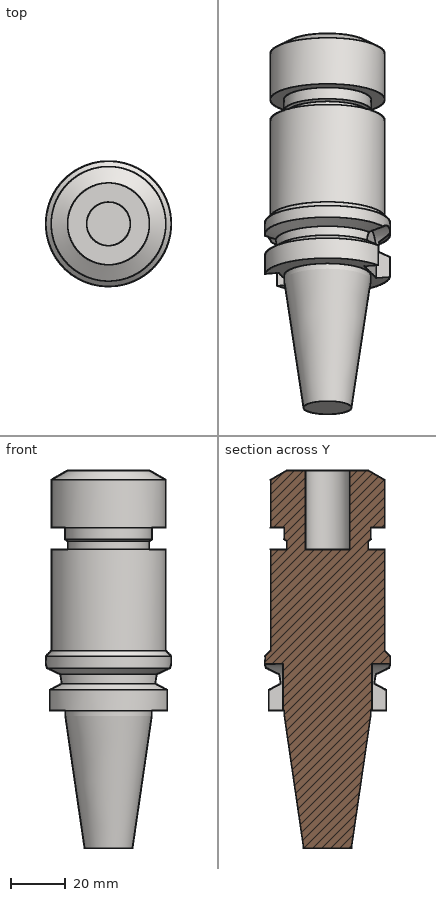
import cadquery as cq
import math


gauge_diameter = 31.75
gauge_radius = gauge_diameter / 2
taper_length = 48.4
taper_ratio = 7 / 24
tip_radius = gauge_radius - taper_length * taper_ratio / 2

flange_radius = 23.0
flange_bottom = 2.0
flange_height = 20.0
flange_top = flange_bottom + flange_height
groove_radius = 19.0
groove_middle = 13.6
groove_floor_width = 3.4
flank_angle = math.radians(30)
flank_height = (flange_radius - groove_radius) * math.tan(flank_angle)
groove_floor_bottom = groove_middle - groove_floor_width / 2
groove_floor_top = groove_middle + groove_floor_width / 2

body_radius = 21.0
body_bottom = flange_top + flange_radius - body_radius
nose_z = 90.0
nut_and_neck_length = 28.9
body_top = nose_z - nut_and_neck_length

relief_radius = 15.0
relief_height = 2.9
thread_radius = 16.0
thread_chamfer_height = 0.75
thread_chamfer_bottom = body_top + relief_height
thread_bottom = thread_chamfer_bottom + thread_chamfer_height

nut_radius = 21.0
nut_height = 21.0
nut_bottom = nose_z - nut_height
nose_radius = 15.0
nose_angle = math.radians(30)
nose_cone_height = (nut_radius - nose_radius) * math.tan(nose_angle)

bore_diameter = 16.0
bore_depth = nut_and_neck_length

slot_width = 16.1
slot_floor_distance = 16.3
slot_height = 17.0
slot_top = flange_bottom + slot_height
slot_arc_center = slot_top - slot_width / 2
rim_overrun = 1.0
slot_cut_depth = flange_radius - slot_floor_distance + rim_overrun


def make_turned_body():
    """Revolve the outer half profile, from the taper tip up to the nose."""
    profile = [
        (0, -taper_length),
        (tip_radius, -taper_length),
        (gauge_radius, 0),
        (gauge_radius, flange_bottom),
        (flange_radius, flange_bottom),
        (flange_radius, groove_floor_bottom - flank_height),
        (groove_radius, groove_floor_bottom),
        (groove_radius, groove_floor_top),
        (flange_radius, groove_floor_top + flank_height),
        (flange_radius, flange_top),
        (body_radius, body_bottom),
        (body_radius, body_top),
        (relief_radius, body_top),
        (relief_radius, thread_chamfer_bottom),
        (thread_radius, thread_bottom),
        (thread_radius, nut_bottom),
        (nut_radius, nut_bottom),
        (nut_radius, nose_z - nose_cone_height),
        (nose_radius, nose_z),
        (0, nose_z),
    ]
    return cq.Workplane("XZ").polyline(profile).close().revolve(360, (0, 0), (0, 1))


def make_bore():
    """Cylinder that opens the collet bore down from the nose."""
    bore = cq.Workplane("XY").workplane(offset=nose_z - bore_depth)
    return bore.circle(bore_diameter / 2).extrude(bore_depth)


def make_drive_slot(side):
    """Cutter for one drive slot; side is -1 for -X and +1 for +X."""
    half_width = slot_width / 2
    return (
        cq.Workplane("YZ", origin=(side * slot_floor_distance, 0, 0))
        .moveTo(-half_width, flange_bottom)
        .lineTo(-half_width, slot_arc_center)
        .threePointArc((0, slot_top), (half_width, slot_arc_center))
        .lineTo(half_width, flange_bottom)
        .close()
        .extrude(side * slot_cut_depth)
    )


result = make_turned_body().cut(make_bore())
for slot_side in (-1, 1):
    result = result.cut(make_drive_slot(slot_side))